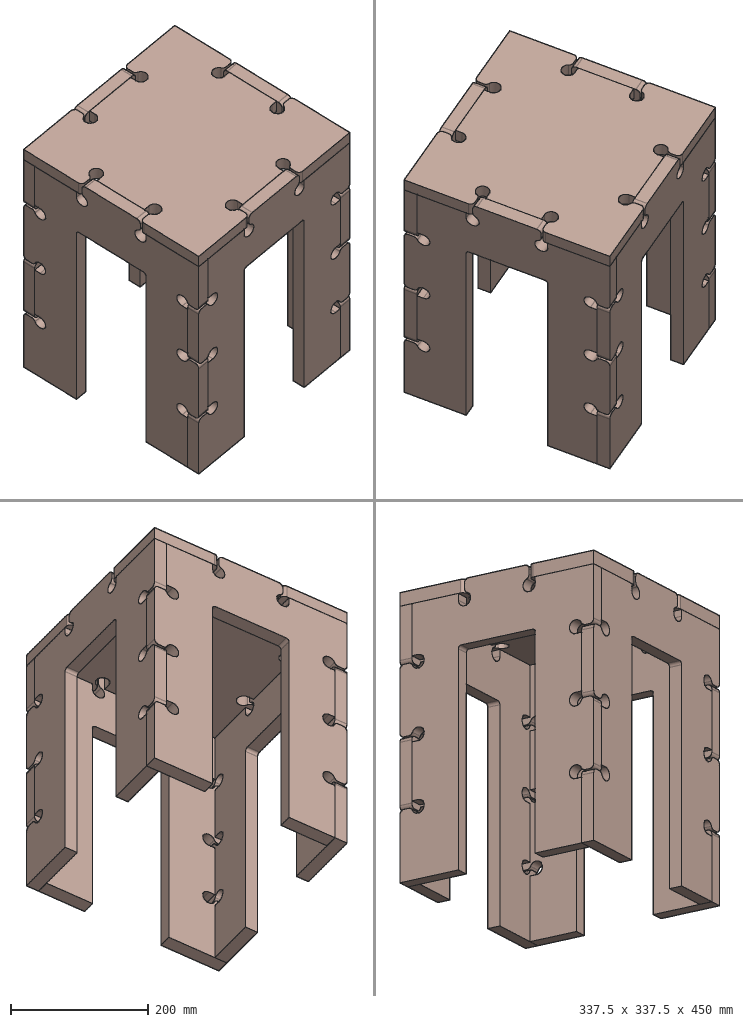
import cadquery as cq
import math

WIDTH = 337.5
HEIGHT = 450.0
THICKNESS = 21.0
FINGER_LENGTH = 112.5
FINGER_FILLET = 7.0
RELIEF_RADIUS = THICKNESS / 2
OPENING_FILLET = 5.0

HALF_WIDTH = WIDTH / 2
HALF_TAB = FINGER_LENGTH / 2
SHOULDER_HEIGHT = HEIGHT - THICKNESS
OPENING_WIDTH = FINGER_LENGTH + 2 * RELIEF_RADIUS
OPENING_HEIGHT = HEIGHT - FINGER_LENGTH + RELIEF_RADIUS

LOW_JOINT = FINGER_LENGTH
MID_JOINT = 2 * FINGER_LENGTH
HIGH_JOINT = 3 * FINGER_LENGTH


def edge_plane(origin, along):
    """Plane on a flat panel's edge: X runs along the edge, Y points into the panel."""
    return cq.Plane(origin=origin, xDir=along, normal=(0, 0, 1))


def finger_end_cut(plane, position, side):
    """Cut at one finger's end; side is +1 or -1, pointing from the finger into the notch."""
    relief_edge = position + side * RELIEF_RADIUS
    relief_depth = THICKNESS + RELIEF_RADIUS

    center_gap = FINGER_FILLET + RELIEF_RADIUS
    neck_angle = math.acos(FINGER_FILLET / center_gap)
    neck_depth = relief_depth - center_gap * math.sin(neck_angle)

    def round_point(center_depth, angle):
        """Point on a fillet of the finger, with the angle measured from the flank toward the root."""
        return (
            position - side * FINGER_FILLET * (1 - math.cos(angle)),
            center_depth + FINGER_FILLET * math.sin(angle),
        )

    tip = round_point(FINGER_FILLET, -math.pi / 2)
    tip_middle = round_point(FINGER_FILLET, -math.pi / 4)
    flank_start = round_point(FINGER_FILLET, 0)
    flank_end = round_point(neck_depth, 0)
    neck_middle = round_point(neck_depth, neck_angle / 2)
    neck = round_point(neck_depth, neck_angle)
    flank = (
        cq.Workplane(plane)
        .moveTo(*tip)
        .threePointArc(tip_middle, flank_start)
        .lineTo(*flank_end)
        .threePointArc(neck_middle, neck)
        .lineTo(relief_edge, neck[1])
        .lineTo(relief_edge, 0)
        .close()
        .extrude(THICKNESS)
    )
    relief_hole = (
        cq.Workplane(plane)
        .center(position, relief_depth)
        .circle(RELIEF_RADIUS)
        .extrude(THICKNESS)
    )
    relief_corner = (
        cq.Workplane(plane)
        .moveTo(position, THICKNESS)
        .lineTo(relief_edge, THICKNESS)
        .lineTo(relief_edge, relief_depth)
        .lineTo(position, relief_depth)
        .close()
        .extrude(THICKNESS)
    )
    return flank.union(relief_hole).union(relief_corner)


def notch(plane, start, end, finger_at_end=True):
    """Notch from a finger end at start to end, which is another finger end or the panel's corner."""
    side = 1 if end > start else -1
    cut = (
        cq.Workplane(plane)
        .center((start + end) / 2, THICKNESS / 2)
        .rect(abs(end - start), THICKNESS)
        .extrude(THICKNESS)
    )
    cut = cut.union(finger_end_cut(plane, start, side))
    if finger_at_end:
        cut = cut.union(finger_end_cut(plane, end, -side))
    return cut


def make_top_panel():
    """Square top with one notch in the middle of each side."""
    panel = cq.Workplane("XY").rect(WIDTH, WIDTH).extrude(THICKNESS)
    front_edge = edge_plane((0, -HALF_WIDTH, 0), (1, 0, 0))
    tab_notch = notch(front_edge, -HALF_TAB, HALF_TAB)
    for quarter in range(4):
        panel = panel.cut(tab_notch.rotate((0, 0, 0), (0, 0, 1), 90 * quarter))
    return panel.translate((0, 0, SHOULDER_HEIGHT))


def leg_opening():
    """Opening between the two legs of a wall, rounded at its upper corners."""
    return (
        cq.Workplane("XY")
        .center(0, OPENING_HEIGHT / 2)
        .rect(OPENING_WIDTH, OPENING_HEIGHT)
        .extrude(THICKNESS)
        .edges("|Z and >Y")
        .fillet(OPENING_FILLET)
    )


def make_front_wall():
    """Wall with two legs, shaped lying flat and then stood up on the front side."""
    wall = (
        cq.Workplane("XY")
        .center(0, HEIGHT / 2)
        .rect(WIDTH, HEIGHT)
        .extrude(THICKNESS)
        .cut(leg_opening())
    )
    top_edge = edge_plane((0, HEIGHT, 0), (-1, 0, 0))
    left_edge = edge_plane((-HALF_WIDTH, 0, 0), (0, -1, 0))
    right_edge = edge_plane((HALF_WIDTH, 0, 0), (0, 1, 0))
    cuts = [
        notch(top_edge, HALF_TAB, HALF_WIDTH, finger_at_end=False),
        notch(top_edge, -HALF_TAB, -HALF_WIDTH, finger_at_end=False),
        notch(left_edge, -HIGH_JOINT, -HEIGHT, finger_at_end=False),
        notch(left_edge, -MID_JOINT, -LOW_JOINT),
        notch(right_edge, MID_JOINT, HIGH_JOINT),
        notch(right_edge, LOW_JOINT, 0, finger_at_end=False),
    ]
    for cut in cuts:
        wall = wall.cut(cut)
    upright = wall.rotate((0, 0, 0), (1, 0, 0), 90)
    return upright.translate((0, THICKNESS - HALF_WIDTH, 0))


top_panel = make_top_panel()

front_wall = make_front_wall()
walls = []
for quarter in range(4):
    walls.append(front_wall.rotate((0, 0, 0), (0, 0, 1), 90 * quarter).val())

result = cq.Compound.makeCompound([top_panel.val(), *walls])